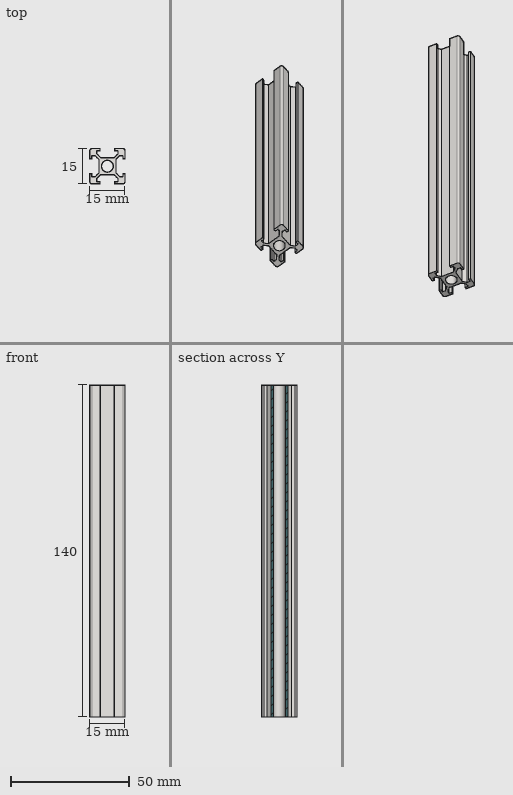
import cadquery as cq

length = 140.0
side = 15.0
corner_radius = 1.01
bore_diameter = 4.9

slot_opening = 6.2
slot_inner_width = 8.8
lip_thickness = 1.0
core_width = 7.3
web_thickness = 1.1

half_side = side / 2
cut_clearance = 1.4


def slot_cutter():
    """T-slot in the +Y side, with 45 degree flanks along the diagonal webs."""
    half_opening = slot_opening / 2
    half_inner = slot_inner_width / 2
    floor = core_width / 2
    lip = half_side - lip_thickness
    outside = half_side + cut_clearance
    web_offset = web_thickness / 2 * 2**0.5
    half_floor = floor - web_offset
    flank_end = half_inner + web_offset
    right_half = [
        (half_floor, floor),
        (half_inner, flank_end),
        (half_inner, lip),
        (half_opening, lip),
        (half_opening, outside),
    ]
    left_half = [(-x, y) for x, y in reversed(right_half)]
    return cq.Workplane("XY").polyline(right_half + left_half).close().extrude(length)


bar = cq.Workplane("XY").rect(side, side).extrude(length)
bar = bar.edges("|Z").fillet(corner_radius)

cutter = slot_cutter()
for angle in (0, 90, 180, 270):
    bar = bar.cut(cutter.rotate((0, 0, 0), (0, 0, 1), angle))

bore = cq.Workplane("XY").circle(bore_diameter / 2).extrude(length)
result = bar.cut(bore)